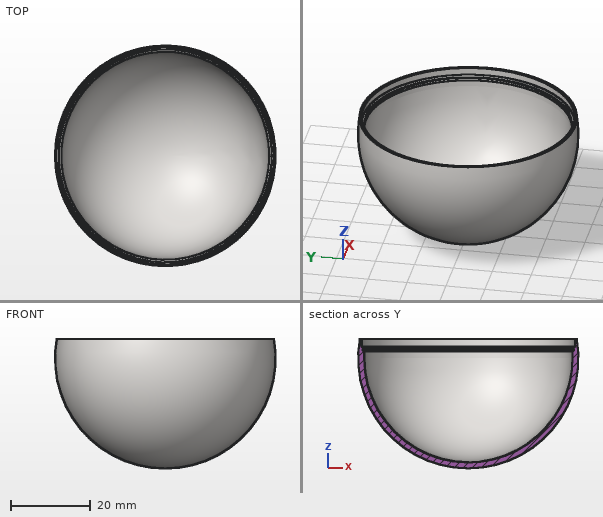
import cadquery as cq
import math

outer_radius = 27.85
rim_height = 4.85
bore_radius = 26.25

rim_bore_radius = 53.8 / 2
shoulder_top = 2.95

groove_bottom = 1.65
groove_depth = 0.45
groove_middle = groove_bottom + groove_depth
groove_top = groove_middle + groove_depth

rim_outer_radius = math.sqrt(outer_radius**2 - rim_height**2)


def lower_arc_middle(radius):
    """Point halfway along the arc from the bottom pole to the equator."""
    offset = radius * math.sqrt(0.5)
    return (offset, -offset)


half_section = (
    cq.Workplane("XZ")
    .moveTo(0, -outer_radius)
    .threePointArc(lower_arc_middle(outer_radius), (outer_radius, 0))
    .radiusArc((rim_outer_radius, rim_height), -outer_radius)
    .lineTo(rim_bore_radius, rim_height)
    .lineTo(rim_bore_radius, shoulder_top)
    .lineTo(bore_radius, groove_top)
    .lineTo(bore_radius + groove_depth, groove_middle)
    .lineTo(bore_radius, groove_bottom)
    .lineTo(bore_radius, 0)
    .threePointArc(lower_arc_middle(bore_radius), (0, -bore_radius))
    .close()
)

result = half_section.revolve(360, (0, 0, 0), (0, 1, 0))